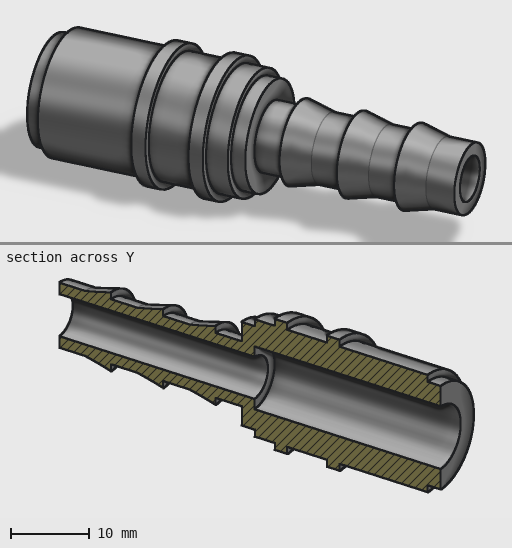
import cadquery as cq

overall_length = 58.5

step_length = 2.0
body_length = 30.55
step_diameter = 15.05
body_diameter = 17.0

collar_diameter = 19.0
collar_width = 2.0
collar_pitch = 8.0
first_collar_start = 15.5
collar_count = 2

stem_diameter = 9.5
barb_diameter = 11.45
barb_length = 4.0
barb_pitch = 8.0
first_barb_start = 34.5
barb_count = 3

socket_diameter = 9.0
socket_depth = body_length - step_length
passage_diameter = 6.0


def cylinder(start, length, diameter):
    """Cylinder along +X from the given start position."""
    return cq.Workplane("YZ", origin=(start, 0, 0)).circle(diameter / 2).extrude(length)


def barb(start):
    """Cone frustum with its sharp shoulder at start, tapering down to the stem."""
    end = start + barb_length
    return (
        cq.Workplane("XY")
        .moveTo(start, 0)
        .lineTo(start, barb_diameter / 2)
        .lineTo(end, stem_diameter / 2)
        .lineTo(end, 0)
        .close()
        .revolve(360, (0, 0, 0), (1, 0, 0))
    )


coupling = cylinder(0, overall_length, stem_diameter)
coupling = coupling.union(cylinder(0, body_length, step_diameter))
coupling = coupling.union(cylinder(step_length, body_length - 2 * step_length, body_diameter))

for i in range(collar_count):
    collar_start = first_collar_start + i * collar_pitch
    coupling = coupling.union(cylinder(collar_start, collar_width, collar_diameter))

for i in range(barb_count):
    coupling = coupling.union(barb(first_barb_start + i * barb_pitch))

coupling = coupling.cut(cylinder(0, socket_depth, socket_diameter))
coupling = coupling.cut(cylinder(0, overall_length, passage_diameter))

result = coupling.translate((-overall_length / 2, 0, 0))